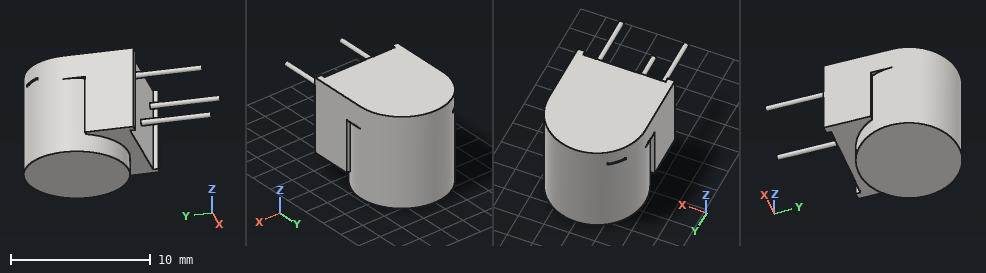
import cadquery as cq
import math

total_length = 13.78
total_height = 7.7
body_width = 7.62
body_radius = body_width / 2

block_front = 5.17
block_bottom = 1.39
rail_width = 0.58
rail_depth = 0.37
face_front = block_front - rail_depth

notch_length = 1.58
notch_top = total_height - 1.87

pin_diameter = 0.47
pin_pitch = 2.54
pin_tip = total_length - body_radius
upper_pin_z = total_height - 1.6
lower_pin_z = upper_pin_z - pin_pitch
pin_positions = [(-pin_pitch, upper_pin_z), (pin_pitch, upper_pin_z), (0, lower_pin_z)]

slit_start = 2.08
slit_end = 3.13
slit_height = 0.12
slit_top = total_height - 1.2
slit_floor_x = -math.sqrt(body_radius**2 - slit_end**2)


def box_between(x_range, y_range, z_range):
    """Axis-aligned box spanning the given (low, high) ranges."""
    lows, highs = zip(x_range, y_range, z_range)
    sizes = [high - low for low, high in zip(lows, highs)]
    return cq.Workplane("XY").box(*sizes, centered=False).translate(lows)


def make_block():
    """Full-width block with a notch at each side and a recess between two end rails."""
    outer = box_between((-body_radius, body_radius), (-block_front, 0), (block_bottom, total_height))
    notches = box_between((-body_radius, body_radius), (-notch_length, 0), (block_bottom, notch_top))
    recess_half_width = body_radius - rail_width
    recess = box_between(
        (-recess_half_width, recess_half_width), (-block_front, -face_front), (block_bottom, total_height)
    )
    return outer.cut(notches).cut(recess)


def make_pins():
    """Round pins standing out of the recessed face toward -Y."""
    return (
        cq.Workplane("XZ", origin=(0, -face_front, 0))
        .pushPoints(pin_positions)
        .circle(pin_diameter / 2)
        .extrude(pin_tip - face_front)
    )


def make_slit():
    """Cutter for the slit, reaching from outside the wall to its flat floor."""
    return box_between(
        (-body_radius, slit_floor_x), (slit_start, slit_end), (slit_top - slit_height, slit_top)
    )


round_body = cq.Workplane("XY").circle(body_radius).extrude(total_height)

result = round_body.union(make_block()).union(make_pins()).cut(make_slit())